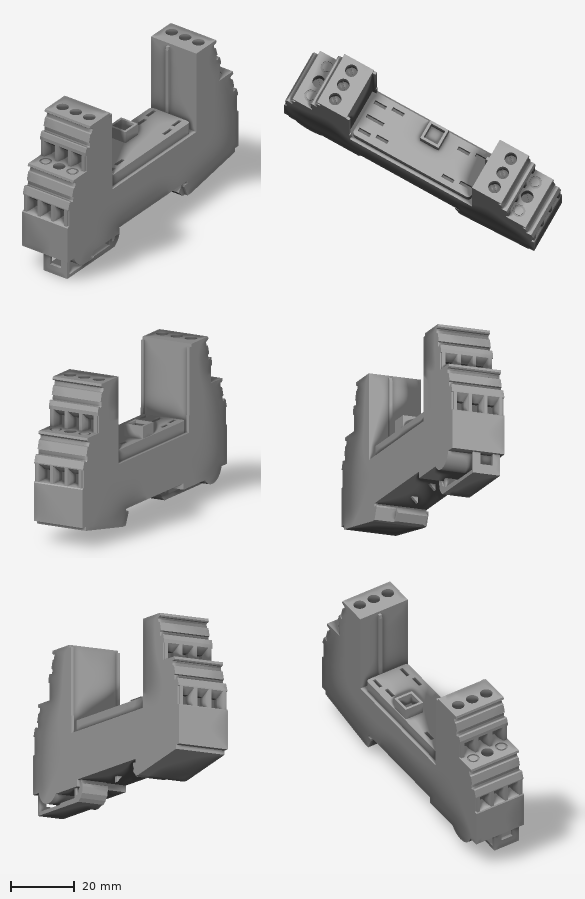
import cadquery as cq

LENGTH = 90.0
WIDTH = 17.7
HEIGHT_TOP = 44.1
FOOT_DEPTH = 6.8

DECK_Z = 15.6
TOWER_INNER = 22.7
LOWER_TIER_Z = 28.5
UPPER_LIP = 33.3
LOWER_LIP = 42.1
UPPER_FACE = 35.55
LOWER_FACE = 44.7
LEDGE_Z = 12.8
LEDGE_FALL = 0.4
ENTRY_DROP = 9.9
UPPER_FACE_DROP = 8.7
LOWER_FACE_DROP = 9.5

PITCH = 5.2
TERMINAL_X = (-PITCH, 0, PITCH)

PLATFORM_TOP = 19.5


def box(x_range, y_range, z_range):
    """Axis-aligned block given by its limits."""
    (x0, x1), (y0, y1), (z0, z1) = x_range, y_range, z_range
    return cq.Workplane("XY").box(x1 - x0, y1 - y0, z1 - z0, centered=False).translate((x0, y0, z0))


def prism(outline, x_range):
    """Closed Y-Z outline extruded between two X positions."""
    x0, x1 = x_range
    return cq.Workplane("YZ", origin=(x0, 0, 0)).polyline(outline).close().extrude(x1 - x0)


FULL_X = (-WIDTH / 2, WIDTH / 2)


def tier_edge(sketch, lip, top, face, face_drop):
    """Continue a tower outline down the grooved outer edge of one tier."""
    steps = (
        (-0.2, 0),
        (0, 0.8),
        (-0.45, 1.2),
        (-1.2, 1.3),
        (-1.4, 1.7),
        (-1.0, 2.9),
        (-0.3, 3.0),
        (0.5, 5.8),
        (-0.2, 5.9),
        (0, 7.3),
        (0.3, 7.65),
        (1.2, 7.2),
        (1.8, 7.2),
    )
    for out, down in steps:
        sketch = sketch.lineTo(lip + out, top - down)
    return sketch.lineTo(face, top - face_drop)


def tower():
    """Two-tier terminal tower on the +Y end, without its openings."""
    sketch = cq.Workplane("YZ", origin=(-WIDTH / 2, 0, 0)).moveTo(TOWER_INNER, 0)
    sketch = sketch.lineTo(TOWER_INNER, HEIGHT_TOP)
    sketch = tier_edge(sketch, UPPER_LIP, HEIGHT_TOP, UPPER_FACE, UPPER_FACE_DROP)
    sketch = sketch.lineTo(UPPER_FACE, LOWER_TIER_Z)
    sketch = tier_edge(sketch, LOWER_LIP, LOWER_TIER_Z, LOWER_FACE, LOWER_FACE_DROP)
    sketch = sketch.lineTo(LOWER_FACE, LEDGE_Z).lineTo(LENGTH / 2, LEDGE_Z - LEDGE_FALL).lineTo(LENGTH / 2, 0)
    return sketch.close().extrude(WIDTH)


SCREW_DIAMETER = 4.0
SCREW_DEPTH = 4.5
SCREW_SLOT_WIDTH = 0.7
SCREW_SLOT_DEPTH = 0.7
SCREW_SLOT_ANGLE = 45
UPPER_SCREW_Y = 28.7
LOWER_SCREW_Y = 37.5
SOCKET_RING_DEPTH = 0.45
SOCKET_DIAMETER = 2.7


def screw_hole(x, y, top):
    """Screw access hole with a slotted screw head at its bottom."""
    floor = top - SCREW_DEPTH
    hole = cq.Workplane("XY", origin=(x, y, floor)).circle(SCREW_DIAMETER / 2).extrude(SCREW_DEPTH)
    slot = (
        cq.Workplane("XY", origin=(x, y, floor - SCREW_SLOT_DEPTH))
        .transformed(rotate=(0, 0, SCREW_SLOT_ANGLE))
        .rect(SCREW_DIAMETER, SCREW_SLOT_WIDTH)
        .extrude(SCREW_SLOT_DEPTH)
    )
    head = cq.Workplane("XY", origin=(x, y, floor - SCREW_SLOT_DEPTH)).circle(SCREW_DIAMETER / 2)
    return hole.union(slot.intersect(head.extrude(SCREW_SLOT_DEPTH)))


def test_socket(x, y, top):
    """Shallow ring groove left around a flush round plug."""
    return (
        cq.Workplane("XY", origin=(x, y, top - SOCKET_RING_DEPTH))
        .circle(SCREW_DIAMETER / 2)
        .circle(SOCKET_DIAMETER / 2)
        .extrude(SOCKET_RING_DEPTH)
    )


ENTRY_WIDTH = 4.1
ENTRY_TAPER_DEPTH = 2.5
ENTRY_BORE_DEPTH = 1.8
ENTRY_BACK_WIDTH = 2.7
ENTRY_BACK_DROP = 2.2
LOWER_ENTRY_RISE = 0.45
UPPER_RELIEF_WIDTH = 0.4
LOWER_RELIEF_WIDTH = 0.5
SIDE_RELIEF_DEPTH = 0.6


def wire_entry(x, face, bottom, top, rise):
    """Funnel-shaped wire entry with a straight bore behind its taper."""
    height = top - bottom
    bore_height = height - ENTRY_BACK_DROP - rise
    bore_shift = (rise - ENTRY_BACK_DROP) / 2
    middle = (bottom + top) / 2
    taper = (
        cq.Workplane("XZ", origin=(x, face, middle))
        .rect(ENTRY_WIDTH, height)
        .workplane(offset=ENTRY_TAPER_DEPTH)
        .center(0, bore_shift)
        .rect(ENTRY_BACK_WIDTH, bore_height)
        .loft(ruled=True)
    )
    bore = (
        cq.Workplane("XZ", origin=(x, face - ENTRY_TAPER_DEPTH, middle + bore_shift))
        .rect(ENTRY_BACK_WIDTH, bore_height)
        .extrude(ENTRY_BORE_DEPTH)
    )
    return taper.union(bore)


def tier_openings(face, bottom, tier_top, rise, relief_width):
    """Three wire entries and the two side reliefs of one tier."""
    top = tier_top - ENTRY_DROP
    y_range = (face - SIDE_RELIEF_DEPTH, face)
    inner = WIDTH / 2 - relief_width
    cut = box((inner, WIDTH / 2), y_range, (bottom, top))
    cut = cut.union(box((-WIDTH / 2, -inner), y_range, (bottom, top)))
    for x in TERMINAL_X:
        cut = cut.union(wire_entry(x, face, bottom, top, rise))
    return cut


def tower_openings():
    """Everything cut out of the +Y tower."""
    cut = tier_openings(UPPER_FACE, LOWER_TIER_Z, HEIGHT_TOP, 0, UPPER_RELIEF_WIDTH)
    lower = tier_openings(LOWER_FACE, LEDGE_Z, LOWER_TIER_Z, LOWER_ENTRY_RISE, LOWER_RELIEF_WIDTH)
    cut = cut.union(lower)
    for x in TERMINAL_X:
        cut = cut.union(screw_hole(x, UPPER_SCREW_Y, HEIGHT_TOP))
    cut = cut.union(screw_hole(0, LOWER_SCREW_Y, LOWER_TIER_Z))
    for x in (-PITCH, PITCH):
        cut = cut.union(test_socket(x, LOWER_SCREW_Y, LOWER_TIER_Z))
    return cut


GUIDE_TOP = 43.2
GUIDE_FACE = 21.6
RIB_X = (-2.3, -1.35)
RIB_LEAD = 0.3
RIB_LEAD_Z = 41.9
FLANGE_WIDTH = 0.9
FLANGE_FOOT_Z = 21.2
FLANGE_FOOT_FACE = 21.3


def guides():
    """Centre rib on the +Y tower and two corner flanges on the -Y tower."""
    rib = [
        (TOWER_INNER, DECK_Z),
        (TOWER_INNER, GUIDE_TOP),
        (GUIDE_FACE + RIB_LEAD, GUIDE_TOP),
        (GUIDE_FACE, RIB_LEAD_Z),
        (GUIDE_FACE, DECK_Z),
    ]
    flange = [
        (-TOWER_INNER, DECK_Z),
        (-TOWER_INNER, GUIDE_TOP),
        (-GUIDE_FACE, GUIDE_TOP),
        (-GUIDE_FACE, FLANGE_FOOT_Z),
        (-FLANGE_FOOT_FACE, FLANGE_FOOT_Z),
        (-FLANGE_FOOT_FACE, DECK_Z),
    ]
    inner = WIDTH / 2 - FLANGE_WIDTH
    solid = prism(rib, RIB_X)
    solid = solid.union(prism(flange, (-WIDTH / 2, -inner)))
    return solid.union(prism(flange, (inner, WIDTH / 2)))


PLATFORM_WIDTH = 15.4
PLATFORM_LENGTH = 42.3
PLATFORM_RADIUS = 1.2
CONTACT_WIDTH = 1.2
CONTACT_LENGTH = 4.1
CONTACT_DEPTH = 1.8
COIL_LENGTH = 6.1
COLUMN_X = 5.0
COLUMN_SHIFT = 0.405
OUTER_ROW_Y = 18.0
INNER_ROW_Y = 12.1

POST_SIZE = 6.6
POST_X = -4.1
POST_Y = 1.8
POST_TOP = 23.5
POST_WALL = 0.8


def contact_slot(x, y, length):
    """Narrow contact slot sunk into the platform."""
    return (
        cq.Workplane("XY", origin=(x, y, PLATFORM_TOP - CONTACT_DEPTH))
        .rect(CONTACT_WIDTH, length)
        .extrude(CONTACT_DEPTH)
    )


def platform():
    """Rounded relay platform with contact slots and a hollow square post."""
    solid = (
        cq.Workplane("XY", origin=(0, 0, DECK_Z))
        .rect(PLATFORM_WIDTH, PLATFORM_LENGTH)
        .extrude(PLATFORM_TOP - DECK_Z)
        .edges("|Z")
        .fillet(PLATFORM_RADIUS)
    )
    rows = (
        (OUTER_ROW_Y, -COLUMN_SHIFT),
        (INNER_ROW_Y, COLUMN_SHIFT),
        (-INNER_ROW_Y, -COLUMN_SHIFT),
        (-OUTER_ROW_Y, COLUMN_SHIFT),
    )
    for y, shift in rows:
        for column in (-COLUMN_X, COLUMN_X):
            solid = solid.cut(contact_slot(column + shift, y, CONTACT_LENGTH))
    coil_y = -OUTER_ROW_Y + (COIL_LENGTH - CONTACT_LENGTH) / 2
    solid = solid.cut(contact_slot(COLUMN_SHIFT, coil_y, COIL_LENGTH))

    bore = POST_SIZE - 2 * POST_WALL
    post = (
        cq.Workplane("XY", origin=(POST_X, POST_Y, PLATFORM_TOP))
        .rect(POST_SIZE, POST_SIZE)
        .rect(bore, bore)
        .extrude(POST_TOP - PLATFORM_TOP)
    )
    return solid.union(post)


HEEL_Z = -5.4
HEEL_OUTER = 43.0
HEEL_INNER = 18.1
HOOK_ROOT = (16.6, -1.0)
HOOK_X = (-2.25, 7.8)
PAD_Z = -2.2
PAD_INNER = 17.9
BULGE_Y = -35.8
BULGE_Z = 1.4
BULGE_RADIUS = 5.85


def rail_heel():
    """Sloping fixed heel under the +Y end with its rail hook."""
    heel = [
        (HEEL_OUTER, 0),
        (HEEL_OUTER, -1.35),
        (19.8, HEEL_Z),
        (HEEL_INNER, HEEL_Z),
        (16.5, -1.6),
        HOOK_ROOT,
        (HEEL_INNER, -1.1),
        (HEEL_INNER, 0),
    ]
    hook = [HOOK_ROOT, (14.8, -3.2), (17.0, HEEL_Z), (HEEL_INNER, HEEL_Z), (HEEL_INNER, -1.1)]
    return prism(heel, FULL_X).union(prism(hook, HOOK_X))


def rail_pad():
    """Flat pad with a round bulge under the -Y end."""
    pad = box(FULL_X, (BULGE_Y, -PAD_INNER), (PAD_Z, 0))
    bulge = cq.Workplane("YZ", origin=(-WIDTH / 2, 0, 0)).center(BULGE_Y, BULGE_Z)
    return pad.union(bulge.circle(BULGE_RADIUS).extrude(WIDTH))


FOOT_X = (-1.35, 7.8)
FOOT_END = 43.8
FOOT_WALL = 1.1
FOOT_FLOOR_Z = -5.7
FOOT_STEP_Z = -5.2
FOOT_NOSE_Z = -4.4
FOOT_POST = (20.25, 21.3)
FOOT_WINDOW_X = (1.2, 5.4)
FOOT_WINDOW_Z = -3.8


def spring_foot():
    """Sprung rail foot: hooked nose, support post, long arm and windowed end wall."""
    post_inner, post_outer = FOOT_POST
    end_inner = FOOT_END - FOOT_WALL
    outline = [
        (-17.3, 0),
        (-17.3, -1.0),
        (-16.2, -1.35),
        (-16.2, -2.3),
        (-16.6, -4.4),
        (-17.6, -5.85),
        (-18.9, -FOOT_DEPTH),
        (-FOOT_END, -FOOT_DEPTH),
        (-FOOT_END, 0),
        (-end_inner, 0),
        (-end_inner, FOOT_FLOOR_Z),
        (-30.2, FOOT_FLOOR_Z),
        (-29.7, FOOT_STEP_Z),
        (-post_outer, FOOT_STEP_Z),
        (-post_outer, PAD_Z),
        (-post_inner, PAD_Z),
        (-post_inner, FOOT_NOSE_Z),
        (-19.3, FOOT_NOSE_Z),
        (-18.2, PAD_Z),
        (-PAD_INNER, PAD_Z),
        (-PAD_INNER, 0),
    ]
    window = box(FOOT_WINDOW_X, (-FOOT_END, -end_inner), (FOOT_WINDOW_Z, 0))
    return prism(outline, FOOT_X).cut(window)


CATCH_WIDTH = 1.3
CATCH_DROP = 2.0
CATCH_Y = 7.2


def catches():
    """Two small wedge-shaped catches below the housing, sloping 45 degrees towards -X."""
    half = CATCH_DROP / 2
    wedge = (
        cq.Workplane("XZ", origin=(0, CATCH_WIDTH / 2, 0))
        .polyline([(-half, 0), (half, -CATCH_DROP), (half, 0)])
        .close()
        .extrude(CATCH_WIDTH)
    )
    return wedge.translate((0, CATCH_Y, 0)).union(wedge.translate((0, -CATCH_Y, 0)))


plus_tower = tower().cut(tower_openings())
minus_tower = plus_tower.rotate((0, 0, 0), (0, 0, 1), 180)

result = box(FULL_X, (-TOWER_INNER, TOWER_INNER), (0, DECK_Z))
features = (
    plus_tower,
    minus_tower,
    platform(),
    guides(),
    rail_heel(),
    rail_pad(),
    spring_foot(),
    catches(),
)
for feature in features:
    result = result.union(feature)